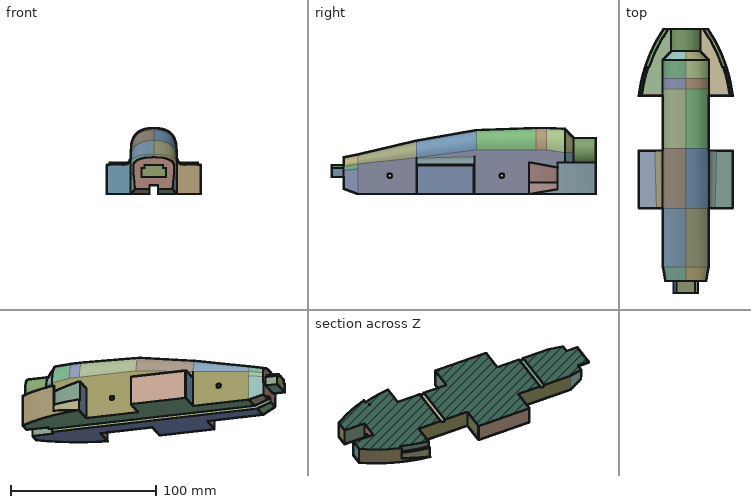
import cadquery as cq
import math

TOTAL_LENGTH = 181.9
TOTAL_WIDTH = 65.0
OUTER_X = TOTAL_WIDTH / 2

BODY_HALF_WIDTH = 15.8
NOSE_BREAK_Y = 18.2
WING_FRONT_Y = 58.4
BODY_REAR_Y = 160.5
BODY_STATIONS = [
    (NOSE_BREAK_Y, 20.7, 27.5),
    (WING_FRONT_Y, 25.1, 37.0),
    (99.7, 30.5, 44.2),
    (140.6, 30.5, 45.7),
    (147.9, 30.5, 45.7),
    (BODY_REAR_Y, 28.5, 45.1),
]
CROWN_FULLNESS = 0.66
ROUND_FULLNESS = 4 / 3 * (math.sqrt(2) - 1)

NOSE_FACE_Y = 8.4
NOSE_HALF_WIDTH = 14.1
NOSE_BOTTOM_HALF_WIDTH = 13.0
NOSE_BOTTOM_Z = 3.6
NOSE_SIDE_TOP_Z = 19.1
NOSE_TOP_Z = 25.5
NOSE_SHOULDER_Z = 16.4
NOSE_BREAK_SHOULDER_Z = 17.5

TONGUE_WIDTH = 17.1
TONGUE_RIB_WIDTH = 12.7
TONGUE_BOTTOM_Z = 11.8
TONGUE_STEP_Z = 18.0
TONGUE_TOP_Z = 20.2
TONGUE_ROOT = 1.8

TUBE_DIAMETER = 20.0
TUBE_CENTER_Z = 28.7
TUBE_FRONT_Y = 166.6

WING_REAR_Y = 98.2
WING_TOP_Z = 20.4
FILLET_FRONT = 4.4
FILLET_REAR = 5.5
WING_CHAMFER = 0.45

TAIL_FRONT_Y = 135.7
TAIL_HEIGHT = 21.8
TAIL_INNER_X = 6.4
TAIL_REAR_X = 15.3
TAIL_SAGITTA = 3.0
TAIL_WALL = 2.7
POCKET_Y = 155.5
FLOOR_LIP = 1.1
FLOOR_DROP = 3.5
LEDGE_Z = 8.0
UPPER_RECESS = 2.2
LOWER_RECESS = 0.5
LOWER_RECESS_REAR_Z = 3.5

GROOVE_WIDTH = 5.8
GROOVE_HEIGHT = 6.0
HOLE_DIAMETER = 3.0
HOLE_Z = 12.7
HOLE_YS = (40.0, 117.1)


def box(x0, x1, y0, y1, z0, z1):
    return cq.Workplane("XY").box(x1 - x0, y1 - y0, z1 - z0, centered=False).translate((x0, y0, z0))


def section(y, side_top, top, half_width=BODY_HALF_WIDTH, fullness=CROWN_FULLNESS,
            bottom=0.0, bottom_half_width=None, shoulder=None):
    """Closed cross-section at y: flat base, straight sides and a crown of two mirrored curves."""
    base = half_width if bottom_half_width is None else bottom_half_width

    def point(x, z):
        return cq.Vector(x, y, z)

    handle_x = half_width * fullness
    handle_z = side_top + (top - side_top) * fullness
    right_side = [point(base, bottom), point(half_width, side_top)]
    left_side = [point(-half_width, side_top), point(-base, bottom)]
    if shoulder is not None:
        right_side.insert(1, point(half_width, shoulder))
        left_side.insert(1, point(-half_width, shoulder))
    crown_right = [
        point(half_width, side_top),
        point(half_width, handle_z),
        point(handle_x, top),
        point(0, top),
    ]
    crown_left = [point(-p.x, p.z) for p in reversed(crown_right)]

    edges = [cq.Edge.makeLine(left_side[-1], right_side[0])]
    edges += [cq.Edge.makeLine(a, b) for a, b in zip(right_side, right_side[1:])]
    edges += [cq.Edge.makeBezier(crown_right), cq.Edge.makeBezier(crown_left)]
    edges += [cq.Edge.makeLine(a, b) for a, b in zip(left_side, left_side[1:])]
    return cq.Wire.assembleEdges(edges)


def loft(*wires):
    return cq.Workplane(cq.Solid.makeLoft(list(wires), True))


def make_body():
    body = loft(*[section(*station) for station in BODY_STATIONS])
    nose = loft(
        section(NOSE_FACE_Y, NOSE_SIDE_TOP_Z, NOSE_TOP_Z, NOSE_HALF_WIDTH, bottom=NOSE_BOTTOM_Z,
                bottom_half_width=NOSE_BOTTOM_HALF_WIDTH, shoulder=NOSE_SHOULDER_Z),
        section(*BODY_STATIONS[0], shoulder=NOSE_BREAK_SHOULDER_Z),
    )
    tube_radius = TUBE_DIAMETER / 2
    rear_taper = loft(
        section(*BODY_STATIONS[-1]),
        section(TUBE_FRONT_Y, TUBE_CENTER_Z, TUBE_CENTER_Z + tube_radius, tube_radius, ROUND_FULLNESS),
    )
    return body.union(nose).union(rear_taper)


def make_tube():
    return (
        cq.Workplane("XZ", origin=(0, BODY_REAR_Y, TUBE_CENTER_Z))
        .circle(TUBE_DIAMETER / 2)
        .extrude(BODY_REAR_Y - TOTAL_LENGTH)
    )


def make_tongue():
    rear = NOSE_FACE_Y + TONGUE_ROOT
    base = box(-TONGUE_WIDTH / 2, TONGUE_WIDTH / 2, 0, rear, TONGUE_BOTTOM_Z, TONGUE_STEP_Z)
    rib = box(-TONGUE_RIB_WIDTH / 2, TONGUE_RIB_WIDTH / 2, 0, rear, TONGUE_BOTTOM_Z, TONGUE_TOP_Z)
    return base.union(rib)


def fillet_section(y, radius):
    """Concave corner between the block top and the body side, with its flat sides buried in both."""
    wall_x = BODY_HALF_WIDTH
    mid = radius * (1 - math.sqrt(0.5))
    inside_x = wall_x / 2
    bottom_z = WING_TOP_Z / 2
    outline = (
        cq.Workplane("XZ", origin=(0, y, 0))
        .moveTo(inside_x, bottom_z)
        .lineTo(wall_x + radius, bottom_z)
        .lineTo(wall_x + radius, WING_TOP_Z)
        .threePointArc((wall_x + mid, WING_TOP_Z + mid), (wall_x, WING_TOP_Z + radius))
        .lineTo(inside_x, WING_TOP_Z + radius)
        .close()
    )
    return outline.val()


def make_wing():
    block = box(0, OUTER_X, WING_FRONT_Y, WING_REAR_Y, 0, WING_TOP_Z)
    block = block.edges("(>X and |Z) or (>X and >Z) or (>Y and >Z)").chamfer(WING_CHAMFER)
    fillet = loft(fillet_section(WING_FRONT_Y, FILLET_FRONT), fillet_section(WING_REAR_Y, FILLET_REAR))
    return block.union(fillet)


def tail_disk(inset):
    """Cylinder whose side is the curved tail outline moved inwards by inset."""
    across = OUTER_X - TAIL_REAR_X
    along = TOTAL_LENGTH - TAIL_FRONT_Y
    chord = math.hypot(across, along)
    radius = chord ** 2 / (8 * TAIL_SAGITTA) + TAIL_SAGITTA / 2
    reach = (radius - TAIL_SAGITTA) / chord
    center_x = (OUTER_X + TAIL_REAR_X) / 2 - reach * along
    center_y = (TOTAL_LENGTH + TAIL_FRONT_Y) / 2 - reach * across
    return cq.Workplane("XY").center(center_x, center_y).circle(radius - inset).extrude(TAIL_HEIGHT)


def side_prism(points):
    """Prism across the whole tail half-width from a (y, z) outline."""
    return cq.Workplane("YZ").polyline(points).close().extrude(OUTER_X)


def make_tail():
    tail = box(TAIL_INNER_X, OUTER_X, TAIL_FRONT_Y, TOTAL_LENGTH, 0, TAIL_HEIGHT)
    tail = tail.intersect(tail_disk(0))

    floor_start_y = TAIL_FRONT_Y + FLOOR_LIP
    floor_slope = FLOOR_DROP / (POCKET_Y - floor_start_y)
    floor_rear_z = TAIL_HEIGHT - floor_slope * (TOTAL_LENGTH - floor_start_y)
    above_floor = side_prism(
        [(floor_start_y, TAIL_HEIGHT), (TOTAL_LENGTH, floor_rear_z), (TOTAL_LENGTH, TAIL_HEIGHT)]
    )
    rim_zone = box(0, OUTER_X, POCKET_Y, TOTAL_LENGTH, 0, TAIL_HEIGHT)
    rim = rim_zone.cut(tail_disk(TAIL_WALL))
    tail = tail.cut(above_floor.cut(rim))

    upper = box(0, OUTER_X, TAIL_FRONT_Y, POCKET_Y, LEDGE_Z, TAIL_HEIGHT)
    lower = side_prism(
        [(TAIL_FRONT_Y, 0), (POCKET_Y, LOWER_RECESS_REAR_Z), (POCKET_Y, LEDGE_Z), (TAIL_FRONT_Y, LEDGE_Z)]
    )
    return tail.cut(upper.cut(tail_disk(UPPER_RECESS))).cut(lower.cut(tail_disk(LOWER_RECESS)))


part = make_body().union(make_tube()).union(make_tongue())
for side_piece in (make_wing(), make_tail()):
    part = part.union(side_piece).union(side_piece.mirror("YZ"))

part = part.cut(box(-GROOVE_WIDTH / 2, GROOVE_WIDTH / 2, 0, TOTAL_LENGTH, 0, GROOVE_HEIGHT))

for hole_y in HOLE_YS:
    hole = cq.Workplane("YZ").center(hole_y, HOLE_Z).circle(HOLE_DIAMETER / 2).extrude(OUTER_X, both=True)
    part = part.cut(hole)

result = part